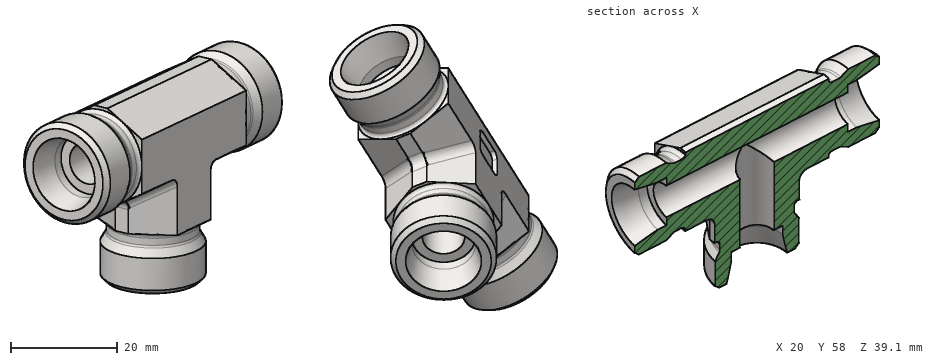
import cadquery as cq
import math

ACROSS_FLATS = 19.0
HALF_CORNER = 10.1
BODY_REACH = 17.0
CROTCH_RADIUS = 2.0

END_REACH = 29.0
THREAD_RADIUS = 10.0
END_CHAMFER = 1.0
NECK_RADIUS = 8.85
NECK_FILLET = 1.0
THREAD_START = 21.6
RUNOUT_ANGLE = math.radians(30)

BORE_RADIUS = 4.0
SOCKET_RADIUS = 6.0
SOCKET_DEPTH = 7.5
MOUTH_RADIUS = 7.15
MOUTH_HALF_ANGLE = math.radians(12)

RECESS_SIZE = 7.1
RECESS_CORNER = 1.2
RECESS_DEPTH = 1.0
RECESS_HEIGHT = -1.0

HALF_FLATS = ACROSS_FLATS / 2
HEX_CORNER = HALF_FLATS / math.sqrt(3)
CUT_HALF_WIDTH = (2 * HEX_CORNER - HALF_CORNER) * math.sqrt(3)
RUNOUT_CORNER = THREAD_START - (THREAD_RADIUS - NECK_RADIUS) / math.tan(RUNOUT_ANGLE)
RUNOUT_TANGENT = NECK_FILLET * math.tan(RUNOUT_ANGLE / 2)
SHOULDER_ROUND = math.sqrt(NECK_FILLET**2 - (NECK_RADIUS + NECK_FILLET - HALF_FLATS) ** 2)
MOUTH_DEPTH = (MOUTH_RADIUS - SOCKET_RADIUS) / math.tan(MOUTH_HALF_ANGLE)

ARM_ANGLES = (0, -90, 90)


def turned(arm, angle):
    """Swing an arm about the X axis through the part's centre."""
    return arm.rotate((0, 0, 0), (1, 0, 0), angle)


def bar(length):
    """Corner-cut hexagonal bar from the origin along -Z, with flats at +X and -X."""
    corner = [(HALF_FLATS, HEX_CORNER), (CUT_HALF_WIDTH, HALF_CORNER)]
    upper = corner + [(-x, y) for x, y in reversed(corner)]
    lower = [(-x, -y) for x, y in upper]
    return cq.Workplane("XY").polyline(upper + lower).close().extrude(-length)


def body():
    """Run along Y joined to the branch along -Z, with rounded crotches."""
    run = turned(bar(2 * BODY_REACH).translate((0, 0, BODY_REACH)), 90)
    tee = run.union(bar(BODY_REACH))
    margin = 0.1
    seams = cq.selectors.BoxSelector(
        (-HALF_FLATS, -HALF_CORNER - margin, -HALF_CORNER - margin),
        (HALF_FLATS, HALF_CORNER + margin, -HEX_CORNER + margin),
    )
    seam_edges = [
        edge
        for edge in tee.edges(seams).vals()
        if abs(abs(edge.Center().y) - abs(edge.Center().z)) < margin
    ]
    return tee.newObject(seam_edges).fillet(CROTCH_RADIUS)


def threaded_end():
    """Neck, run-out cone and chamfered thread cylinder, pointing down."""
    cone_start = (
        NECK_RADIUS + RUNOUT_TANGENT * math.sin(RUNOUT_ANGLE),
        -RUNOUT_CORNER - RUNOUT_TANGENT * math.cos(RUNOUT_ANGLE),
    )
    return (
        cq.Workplane("XZ")
        .moveTo(0, -BODY_REACH)
        .lineTo(HALF_FLATS, -BODY_REACH)
        .radiusArc((NECK_RADIUS, -BODY_REACH - SHOULDER_ROUND), -NECK_FILLET)
        .lineTo(NECK_RADIUS, -RUNOUT_CORNER + RUNOUT_TANGENT)
        .radiusArc(cone_start, -NECK_FILLET)
        .lineTo(THREAD_RADIUS, -THREAD_START)
        .lineTo(THREAD_RADIUS, -END_REACH + END_CHAMFER)
        .lineTo(THREAD_RADIUS - END_CHAMFER, -END_REACH)
        .lineTo(0, -END_REACH)
        .close()
        .revolve(360, (0, 0), (0, 1))
    )


def end_bore():
    """Tapered mouth, socket and through bore of one end, pointing down."""
    return (
        cq.Workplane("XZ")
        .lineTo(BORE_RADIUS, 0)
        .lineTo(BORE_RADIUS, -END_REACH + SOCKET_DEPTH)
        .lineTo(SOCKET_RADIUS, -END_REACH + SOCKET_DEPTH)
        .lineTo(SOCKET_RADIUS, -END_REACH + MOUTH_DEPTH)
        .lineTo(MOUTH_RADIUS, -END_REACH)
        .lineTo(0, -END_REACH)
        .close()
        .revolve(360, (0, 0), (0, 1))
    )


def marking_recess():
    """Rounded square pocket sunk into the -X flat."""
    return (
        cq.Workplane("YZ", origin=(-HALF_FLATS, 0, RECESS_HEIGHT))
        .rect(RECESS_SIZE, RECESS_SIZE)
        .extrude(RECESS_DEPTH)
        .edges("|X")
        .fillet(RECESS_CORNER)
    )


result = body()
for angle in ARM_ANGLES:
    result = result.union(turned(threaded_end(), angle))
for angle in ARM_ANGLES:
    result = result.cut(turned(end_bore(), angle))
result = result.cut(marking_recess())